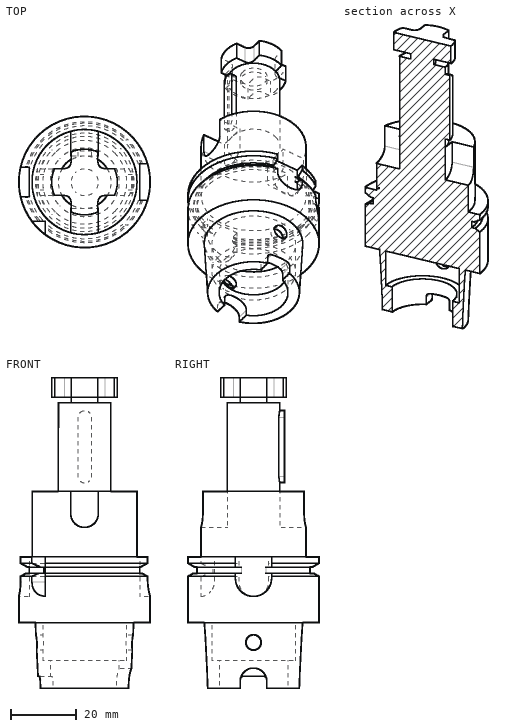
import cadquery as cq
import math


TAPER_LENGTH = 20.0
TAPER_TOP_DIAMETER = 30.0
TAPER_RATIO = 0.1
TAPER_BOTTOM_DIAMETER = TAPER_TOP_DIAMETER - TAPER_RATIO * TAPER_LENGTH
MOUTH_BORE_DIAMETER = 21.0
CHAMBER_DIAMETER = 25.5
CHAMBER_DEPTH = 11.4
CROSS_HOLE_DIAMETER = 4.6
CROSS_HOLE_Z = -6.0

NOTCH_WIDTH = 8.05
LEFT_NOTCH_HEIGHT = 3.7
LEFT_NOTCH_CORNER_RADIUS = 1.0
RIGHT_NOTCH_HEIGHT = 6.2

FLANGE_DIAMETER = 40.0
FLANGE_HEIGHT = 20.0
GROOVE_FLOOR_DIAMETER = 34.5
GROOVE_FLANK_ANGLE = 30.0
GROOVE_MOUTH_BOTTOM_Z = 14.1
GROOVE_FLOOR_BOTTOM_Z = 15.0
GROOVE_FLOOR_TOP_Z = 16.95
GROOVE_MOUTH_TOP_Z = 18.1

FLANGE_SLOT_BOTTOM_Z = 8.0
FLANGE_SLOT_FLOOR_X = 16.85
LEFT_SLOT_WIDTH = 9.0
RIGHT_SLOT_WIDTH = 11.0
CORNER_NOTCH_OFFSET = 12.0

SHOULDER_DIAMETER = 32.0
SHOULDER_HEIGHT = 20.0
SHOULDER_SLOT_WIDTH = 8.4
SHOULDER_SLOT_DEPTH = 11.0

ARBOR_DIAMETER = 16.0
ARBOR_LENGTH = 27.0
KEY_WIDTH = 4.0
KEY_LENGTH = 22.0
KEY_CENTRE_ABOVE_SHOULDER = 13.6
KEY_TOP_Y = 9.5
NECK_DIAMETER = 8.2
NECK_LENGTH = 1.6
HEAD_DIAMETER = 20.0
HEAD_HEIGHT = 6.0
HEAD_ARM_WIDTH = 8.2
HEAD_CORNER_RADIUS = 2.0

SHOULDER_TOP_Z = FLANGE_HEIGHT + SHOULDER_HEIGHT
ARBOR_TOP_Z = SHOULDER_TOP_Z + ARBOR_LENGTH
HEAD_BOTTOM_Z = ARBOR_TOP_Z + NECK_LENGTH


def cylinder(diameter, bottom_z, height):
    return cq.Workplane("XY").workplane(offset=bottom_z).circle(diameter / 2).extrude(height)


def box(x_range, y_range, z_range):
    x0, x1 = x_range
    y0, y1 = y_range
    z0, z1 = z_range
    return cq.Workplane("XY").box(x1 - x0, y1 - y0, z1 - z0, centered=False).translate((x0, y0, z0))


def turned_body():
    """Taper, grooved flange, shoulder, arbor and neck in one revolved outline."""
    flange_r = FLANGE_DIAMETER / 2
    groove_r = GROOVE_FLOOR_DIAMETER / 2
    flank_slope = math.tan(math.radians(GROOVE_FLANK_ANGLE))
    lower_lip_r = flange_r - (GROOVE_FLOOR_BOTTOM_Z - GROOVE_MOUTH_BOTTOM_Z) / flank_slope
    upper_lip_r = flange_r - (GROOVE_MOUTH_TOP_Z - GROOVE_FLOOR_TOP_Z) / flank_slope
    outline = [
        (0, -TAPER_LENGTH),
        (TAPER_BOTTOM_DIAMETER / 2, -TAPER_LENGTH),
        (TAPER_TOP_DIAMETER / 2, 0),
        (flange_r, 0),
        (flange_r, GROOVE_MOUTH_BOTTOM_Z),
        (lower_lip_r, GROOVE_FLOOR_BOTTOM_Z),
        (groove_r, GROOVE_FLOOR_BOTTOM_Z),
        (groove_r, GROOVE_FLOOR_TOP_Z),
        (upper_lip_r, GROOVE_FLOOR_TOP_Z),
        (flange_r, GROOVE_MOUTH_TOP_Z),
        (flange_r, FLANGE_HEIGHT),
        (SHOULDER_DIAMETER / 2, FLANGE_HEIGHT),
        (SHOULDER_DIAMETER / 2, SHOULDER_TOP_Z),
        (ARBOR_DIAMETER / 2, SHOULDER_TOP_Z),
        (ARBOR_DIAMETER / 2, ARBOR_TOP_Z),
        (NECK_DIAMETER / 2, ARBOR_TOP_Z),
        (NECK_DIAMETER / 2, HEAD_BOTTOM_Z),
        (0, HEAD_BOTTOM_Z),
    ]
    return cq.Workplane("XZ").polyline(outline).close().revolve(360, (0, 0, 0), (0, 1, 0))


def cross_head():
    """Cross with rounded inner corners, its arm ends on the head diameter."""
    arm = (-HEAD_ARM_WIDTH / 2, HEAD_ARM_WIDTH / 2)
    span = (-HEAD_DIAMETER / 2, HEAD_DIAMETER / 2)
    levels = (HEAD_BOTTOM_Z, HEAD_BOTTOM_Z + HEAD_HEIGHT)
    cross = box(span, arm, levels).union(box(arm, span, levels))
    inner_reach = HEAD_ARM_WIDTH / 2 + HEAD_CORNER_RADIUS / 2
    inner_corners = cq.selectors.BoxSelector(
        (-inner_reach, -inner_reach, levels[0]), (inner_reach, inner_reach, levels[1])
    )
    cross = cross.edges("|Z").edges(inner_corners).fillet(HEAD_CORNER_RADIUS)
    return cross.intersect(cylinder(HEAD_DIAMETER, HEAD_BOTTOM_Z, HEAD_HEIGHT))


def key():
    """Round-ended key standing out of the +Y side of the arbor."""
    return (
        cq.Workplane("XZ")
        .center(0, SHOULDER_TOP_Z + KEY_CENTRE_ABOVE_SHOULDER)
        .slot2D(KEY_LENGTH, KEY_WIDTH, 90)
        .extrude(-KEY_TOP_Y)
    )


def round_bottom_slot(normal, across, width, bottom_z, top_z, near, far):
    """Upright slot with a full-round bottom, running from near to far along the X or Y
    axis named by normal and centred at across on the other one."""
    half = width / 2
    origin = (0, 0, 0)
    x_direction = (0, 1, 0) if normal == "X" else (-1, 0, 0)
    normal_direction = (1, 0, 0) if normal == "X" else (0, 1, 0)
    return (
        cq.Workplane(cq.Plane(origin, x_direction, normal_direction))
        .workplane(offset=near)
        .moveTo(across - half, top_z)
        .lineTo(across - half, bottom_z + half)
        .threePointArc((across, bottom_z), (across + half, bottom_z + half))
        .lineTo(across + half, top_z)
        .close()
        .extrude(far - near)
    )


def cut_shoulder_slots(body):
    """Slots on the +Y and -Y sides, their floors tangent to the arbor."""
    for side in (-1, 1):
        body = body.cut(
            round_bottom_slot(
                "Y",
                0,
                SHOULDER_SLOT_WIDTH,
                SHOULDER_TOP_Z - SHOULDER_SLOT_DEPTH,
                SHOULDER_TOP_Z,
                side * ARBOR_DIAMETER / 2,
                side * SHOULDER_DIAMETER / 2,
            )
        )
    return body


def cut_flange_slots(body):
    """A narrow slot at -X, a wide one at +X and a notch at the -X, -Y corner."""
    corner_notch_y = -CORNER_NOTCH_OFFSET - LEFT_SLOT_WIDTH / 2
    slots = [
        (0, LEFT_SLOT_WIDTH, -FLANGE_SLOT_FLOOR_X, -FLANGE_DIAMETER / 2),
        (0, RIGHT_SLOT_WIDTH, FLANGE_SLOT_FLOOR_X, FLANGE_DIAMETER / 2),
        (corner_notch_y, LEFT_SLOT_WIDTH, -CORNER_NOTCH_OFFSET, -FLANGE_DIAMETER / 2),
    ]
    for across, width, near, far in slots:
        body = body.cut(
            round_bottom_slot("X", across, width, FLANGE_SLOT_BOTTOM_Z, FLANGE_HEIGHT, near, far)
        )
    return body


def hollow_taper(body):
    """Stepped bore, cross hole and the two unequal drive notches."""
    body = body.cut(cylinder(MOUTH_BORE_DIAMETER, -TAPER_LENGTH, TAPER_LENGTH))
    body = body.cut(cylinder(CHAMBER_DIAMETER, -CHAMBER_DEPTH, CHAMBER_DEPTH))
    cross_hole = (
        cq.Workplane("YZ")
        .center(0, CROSS_HOLE_Z)
        .circle(CROSS_HOLE_DIAMETER / 2)
        .extrude(TAPER_TOP_DIAMETER / 2, both=True)
    )
    body = body.cut(cross_hole)

    half = NOTCH_WIDTH / 2
    reach = TAPER_TOP_DIAMETER / 2
    left_notch_top = -TAPER_LENGTH + LEFT_NOTCH_HEIGHT
    left_notch = box((-reach, 0), (-half, half), (-TAPER_LENGTH, left_notch_top))
    left_notch = left_notch.edges("|X and >Z").fillet(LEFT_NOTCH_CORNER_RADIUS)

    right_notch_top = -TAPER_LENGTH + RIGHT_NOTCH_HEIGHT
    right_notch = (
        cq.Workplane("YZ")
        .moveTo(-half, -TAPER_LENGTH)
        .lineTo(-half, right_notch_top - half)
        .threePointArc((0, right_notch_top), (half, right_notch_top - half))
        .lineTo(half, -TAPER_LENGTH)
        .close()
        .extrude(reach)
    )
    return body.cut(left_notch).cut(right_notch)


arbor = cut_shoulder_slots(turned_body())
arbor = cut_flange_slots(arbor)
arbor = hollow_taper(arbor)
result = arbor.union(key()).union(cross_head())